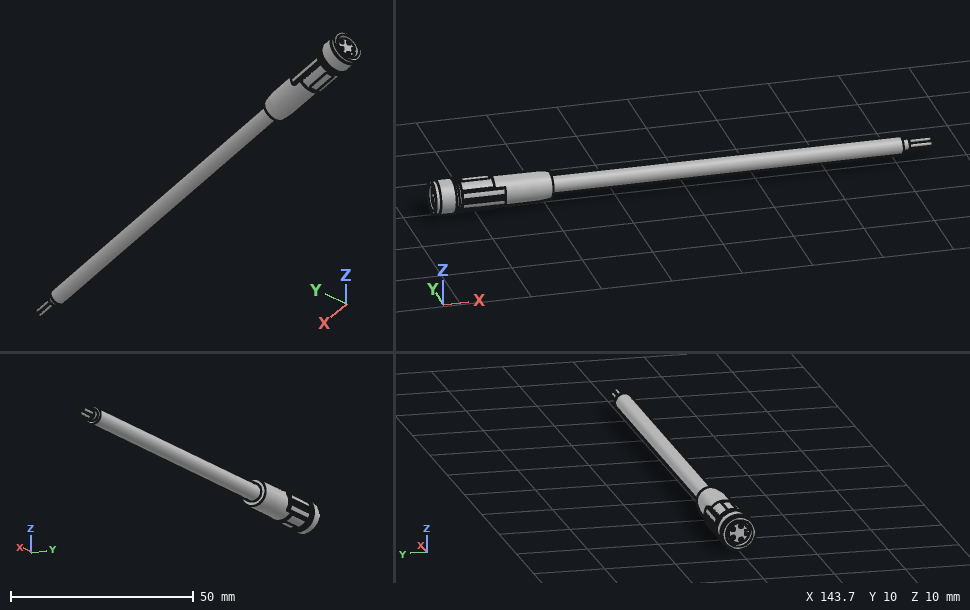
import cadquery as cq
import math

total_length = 143.7
ring_start = 1.3
ring_end = 5.7
collar_end = 6.6
grip_start = 7.5
grip_end = 16.8
side_pad_end = 19.7
body_end = 30.0
boot_end = 33.5
jacket_end = 133.4
core_end = 135.4
insulation_end = 141.8

nose_radius = 4.7
ring_radius = 5.0
collar_radius = 4.7
neck_radius = 4.3
grip_radius = 4.7
body_front_radius = 4.5
body_radius = 4.3
boot_middle_radius = 4.2
boot_end_radius = 3.9
jacket_radius = 2.6
core_radius = 1.7

socket_radius = 3.7
socket_depth = 2.9
insert_radius = 2.9
insert_recess = 0.6
contact_radius = 0.5
contact_pitch_radius = 2.0
contact_depth = 2.2
contact_count = 4
key_width = 1.3
key_inner_radius = 1.9

side_pad_width = 4.9
pad_gap = 0.3
groove_width = 0.5
groove_spacing = 0.9
groove_depth = 0.3
flat_length = 8.2
flat_depth = 0.22
flat_width = 2.6
flat_corner = 0.5

wire_count = 4
wire_pitch_radius = 1.0
insulation_radius = 0.65
conductor_radius = 0.3


def cylinder_along_x(start, end, radius, y=0.0, z=0.0):
    return cq.Workplane("YZ", origin=(start, y, z)).circle(radius).extrude(end - start)


def turned_body():
    """Plug, boot, cable jacket and core, revolved about X."""
    boot_middle = ((body_end + boot_end) / 2, boot_middle_radius)
    return (
        cq.Workplane("XY")
        .moveTo(0, 0)
        .lineTo(0, nose_radius)
        .lineTo(ring_start, nose_radius)
        .lineTo(ring_start, ring_radius)
        .lineTo(ring_end, ring_radius)
        .lineTo(ring_end, collar_radius)
        .lineTo(collar_end, collar_radius)
        .lineTo(collar_end, neck_radius)
        .lineTo(grip_start, neck_radius)
        .lineTo(grip_start, body_front_radius)
        .lineTo(body_end, body_radius)
        .threePointArc(boot_middle, (boot_end, boot_end_radius))
        .lineTo(boot_end, jacket_radius)
        .lineTo(jacket_end, jacket_radius)
        .lineTo(jacket_end, core_radius)
        .lineTo(core_end, core_radius)
        .lineTo(core_end, 0)
        .close()
        .revolve(360, (0, 0, 0), (1, 0, 0))
    )


def side_pads():
    """Raised curved pads on the -Y and +Y sides, each with two lengthwise grooves."""
    length = side_pad_end - grip_start
    middle = (grip_start + side_pad_end) / 2
    band = cq.Workplane("XY").box(length, 2 * ring_radius, side_pad_width).translate((middle, 0, 0))
    pads = band.intersect(cylinder_along_x(grip_start, side_pad_end, ring_radius))
    for side in (-1, 1):
        for offset in (-groove_spacing / 2, groove_spacing / 2):
            groove = cq.Workplane("XY").box(length, 2 * groove_depth, groove_width)
            pads = pads.cut(groove.translate((middle, side * ring_radius, offset)))
    return pads


def grip_shells():
    """Curved top and bottom shells, parted from the side pads by narrow gaps."""
    length = grip_end - grip_start
    middle = (grip_start + grip_end) / 2
    shells = cylinder_along_x(grip_start, grip_end, grip_radius)
    window = cq.Workplane("XY").box(length, 2 * grip_radius, side_pad_width + 2 * pad_gap)
    return shells.cut(window.translate((middle, 0, 0)))


def grip_flats():
    """Cutters for the shallow flats on the top and bottom of the grip."""
    middle = (grip_start + grip_end) / 2
    flat_height = grip_radius - flat_depth
    cutter = (
        cq.Workplane("XY", origin=(middle, 0, flat_height))
        .rect(flat_length, flat_width)
        .extrude(flat_depth)
        .edges("|Z")
        .chamfer(flat_corner)
    )
    return cutter.union(cutter.mirror("XY"))


def socket():
    """Cutter for the recess, ring gap, contact holes and keyway in the mating face."""
    cutter = cylinder_along_x(0, socket_depth, socket_radius)
    cutter = cutter.cut(cylinder_along_x(insert_recess, socket_depth, insert_radius))
    for place in range(1, contact_count + 1):
        angle = 2 * math.pi * place / (contact_count + 1)
        y = -contact_pitch_radius * math.cos(angle)
        z = contact_pitch_radius * math.sin(angle)
        cutter = cutter.union(cylinder_along_x(0, contact_depth, contact_radius, y, z))
    key_length = socket_radius - key_inner_radius
    keyway = cq.Workplane("XY").box(socket_depth, key_length, key_width, centered=(False, False, True))
    keyway = keyway.translate((0, -socket_radius, 0)).intersect(
        cylinder_along_x(0, socket_depth, socket_radius)
    )
    return cutter.union(keyway)


def wires():
    """Insulated wires leaving the core, each with a bare conductor end."""
    bundle = cq.Workplane("XY")
    for index in range(wire_count):
        angle = 2 * math.pi * index / wire_count
        y = wire_pitch_radius * math.cos(angle)
        z = wire_pitch_radius * math.sin(angle)
        bundle = bundle.union(cylinder_along_x(jacket_end, insulation_end, insulation_radius, y, z))
        bundle = bundle.union(cylinder_along_x(jacket_end, total_length, conductor_radius, y, z))
    return bundle


plug = turned_body().union(grip_shells()).union(side_pads()).cut(grip_flats()).cut(socket())
result = plug.union(wires())